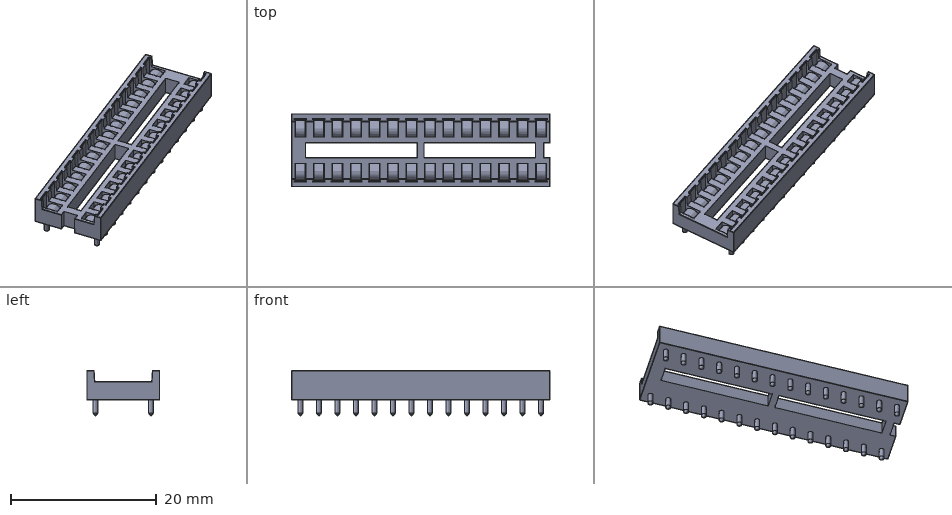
import cadquery as cq

length = 35.5
width = 10.0
total_height = 6.2
body_height = 4.0
edge_break = 0.05

pitch = 2.54
contacts_per_row = 14
row_spacing = 7.62

channel_depth = 1.5
wall_top_thickness = 1.0
wall_foot_thickness = 1.1

window_width = 2.04
window_length = 15.3
window_left_margin = 1.95
window_bridge = 0.95
end_notch_depth = 0.85

pocket_width = 1.55
pocket_outer_margin = 0.65
pocket_inner_margin = 3.2

plate_thickness = 0.15
plate_overhang = 0.08
plate_drop = 0.1
spring_gap = 0.12
spring_drop = 0.1

pin_diameter = 0.7
pin_tip_height = 0.35

pin_length = total_height - body_height
pin_radius = pin_diameter / 2
floor_z = body_height - channel_depth
plate_back_y = width / 2 - pocket_outer_margin
plate_front_y = plate_back_y - plate_thickness
pocket_inner_y = width / 2 - pocket_inner_margin
spring_radius = (plate_front_y - spring_gap - pocket_inner_y) / 2
spring_axis_y = pocket_inner_y + spring_radius
spring_axis_z = floor_z - spring_drop - spring_radius
spring_width = pocket_width - 2 * spring_gap
contact_xs = [(i - (contacts_per_row - 1) / 2) * pitch for i in range(contacts_per_row)]


def box_between(x_range, y_range, z_range):
    """Box spanning the given (low, high) ranges."""
    size = [high - low for low, high in (x_range, y_range, z_range)]
    corner = (x_range[0], y_range[0], z_range[0])
    return cq.Workplane("XY").box(*size, centered=False).translate(corner)


def make_body():
    """U-shaped bar with a small edge break along its outer edges and end outlines."""
    top_half = width / 2 - wall_top_thickness
    foot_half = width / 2 - wall_foot_thickness
    profile = [
        (-width / 2, 0),
        (width / 2, 0),
        (width / 2, body_height),
        (top_half, body_height),
        (foot_half, floor_z),
        (-foot_half, floor_z),
        (-top_half, body_height),
        (-width / 2, body_height),
    ]
    bar = cq.Workplane("YZ").polyline(profile).close().extrude(length / 2, both=True)
    return bar.faces("<X or >X or <Y or >Y").edges().chamfer(edge_break)


def make_through_opening(x_start, x_size):
    """Tool for a window or notch through the floor, centred across the width."""
    half_width = window_width / 2
    return box_between((x_start, x_start + x_size), (-half_width, half_width), (0, body_height))


def make_pocket():
    """Tool for one +Y pocket at X = 0: leaves the spring and the plate standing in the body."""
    half_width = pocket_width / 2
    opening = box_between(
        (-half_width, half_width), (pocket_inner_y, plate_front_y), (spring_axis_z, body_height)
    )
    spring = (
        cq.Workplane("YZ")
        .center(spring_axis_y, spring_axis_z)
        .circle(spring_radius)
        .extrude(spring_width / 2, both=True)
    )
    plate_half_width = half_width + plate_overhang
    plate_recess = box_between(
        (-plate_half_width, plate_half_width),
        (plate_front_y, plate_back_y),
        (body_height - plate_drop, body_height),
    )
    return opening.cut(spring).union(plate_recess)


def make_pin():
    """One +Y pin at X = 0 with a conical tip, its upper end sunk into the body."""
    sunk_height = pin_radius
    profile = [
        (0, -pin_length),
        (pin_radius, -pin_length + pin_tip_height),
        (pin_radius, sunk_height),
        (0, sunk_height),
    ]
    pin = cq.Workplane("XZ").polyline(profile).close().revolve(360, (0, 0), (0, 1))
    return pin.translate((0, row_spacing / 2, 0))


def both_rows(shape):
    """Copies of a +Y shape at every contact place of the +Y row and the mirrored -Y row."""
    mirrored = shape.mirror("XZ")
    copies = cq.Workplane("XY")
    for x in contact_xs:
        copies = copies.add(shape.translate((x, 0, 0)))
        copies = copies.add(mirrored.translate((x, 0, 0)))
    return cq.Workplane("XY").newObject([cq.Compound.makeCompound(copies.vals())])


result = make_body()

first_window_x = -length / 2 + window_left_margin
for window_x in (first_window_x, first_window_x + window_length + window_bridge):
    result = result.cut(make_through_opening(window_x, window_length))
result = result.cut(make_through_opening(length / 2 - end_notch_depth, end_notch_depth))

result = result.cut(both_rows(make_pocket()))
result = result.union(both_rows(make_pin()))